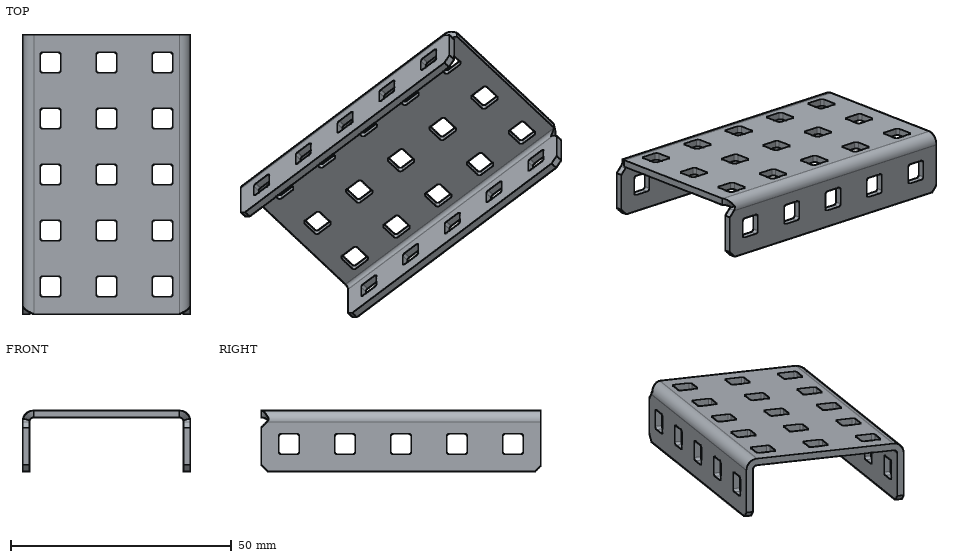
import cadquery as cq
import math

width = 38.1
length = 63.5
height = 13.87
thickness = 1.6

outer_radius = 2.54
inner_radius = outer_radius - thickness
neutral_fraction = 0.25
neutral_radius = inner_radius + neutral_fraction * thickness
bend_angle = 90.0

pitch = 12.7
hole_size = 4.62
hole_corner_radius = 0.6
web_columns = 3
rows = 5
flange_hole_drop = 7.62

top_corner_chamfer = 1.35
front_bottom_chamfer = 1.55
rear_bottom_chamfer = 1.35

half_width = width / 2
half_length = length / 2
bend_axis_x = half_width - outer_radius
bend_axis_z = -outer_radius

degrees_per_depth = math.degrees(1 / neutral_radius)
notch_end_angle = bend_angle + top_corner_chamfer * degrees_per_depth
notch_depth = notch_end_angle / 2 / degrees_per_depth


def make_web():
    return (
        cq.Workplane("XY", origin=(0, 0, -thickness))
        .rect(2 * bend_axis_x, length)
        .extrude(thickness)
    )


def sector(start_angle, end_angle, inner, outer):
    """Outline of a ring sector around the bend axis; angles run from +Z towards +X."""

    def point(radius, angle):
        turn = math.radians(angle)
        return (-radius * math.sin(turn), radius * math.cos(turn))

    middle_angle = (start_angle + end_angle) / 2
    plane = cq.Plane(
        origin=(bend_axis_x, -half_length, bend_axis_z),
        xDir=(-1, 0, 0),
        normal=(0, 1, 0),
    )
    return (
        cq.Workplane(plane)
        .moveTo(*point(inner, start_angle))
        .lineTo(*point(outer, start_angle))
        .threePointArc(point(outer, middle_angle), point(outer, end_angle))
        .lineTo(*point(inner, end_angle))
        .threePointArc(point(inner, middle_angle), point(inner, start_angle))
        .close()
    )


def make_bend_notch():
    """Wrapped V-notch: the overlap of two wedges that twist in opposite directions."""
    twist = notch_depth * degrees_per_depth
    clearance = inner_radius / 2
    inner = inner_radius - clearance
    outer = outer_radius + clearance
    mouth = (0, notch_end_angle, inner, outer)
    web_side = sector(*mouth).twistExtrude(notch_depth, -twist)
    flange_side = sector(*mouth).twistExtrude(notch_depth, twist)
    return web_side.intersect(flange_side)


def make_bend():
    bend = sector(0, bend_angle, inner_radius, outer_radius).extrude(length)
    return bend.cut(make_bend_notch())


def make_flange():
    return (
        cq.Workplane("YZ", origin=(half_width - thickness, 0, 0))
        .moveTo(half_length, bend_axis_z)
        .lineTo(-half_length + top_corner_chamfer, bend_axis_z)
        .lineTo(-half_length, bend_axis_z - top_corner_chamfer)
        .lineTo(-half_length, -height + front_bottom_chamfer)
        .lineTo(-half_length + front_bottom_chamfer, -height)
        .lineTo(half_length - rear_bottom_chamfer, -height)
        .lineTo(half_length, -height + rear_bottom_chamfer)
        .close()
        .extrude(thickness)
    )


def web_holes():
    return (
        cq.Workplane("XY", origin=(0, 0, -thickness))
        .rarray(pitch, pitch, web_columns, rows)
        .rect(hole_size, hole_size)
        .extrude(thickness)
        .edges("|Z")
        .fillet(hole_corner_radius)
    )


def flange_holes():
    """Cutters that pass through both flanges."""
    return (
        cq.Workplane("YZ", origin=(0, 0, -flange_hole_drop))
        .rarray(pitch, pitch, rows, 1)
        .rect(hole_size, hole_size)
        .extrude(half_width, both=True)
        .edges("|X")
        .fillet(hole_corner_radius)
    )


side = make_bend().union(make_flange())
channel = make_web().union(side).union(side.mirror("YZ"))
result = channel.cut(web_holes()).cut(flange_holes())